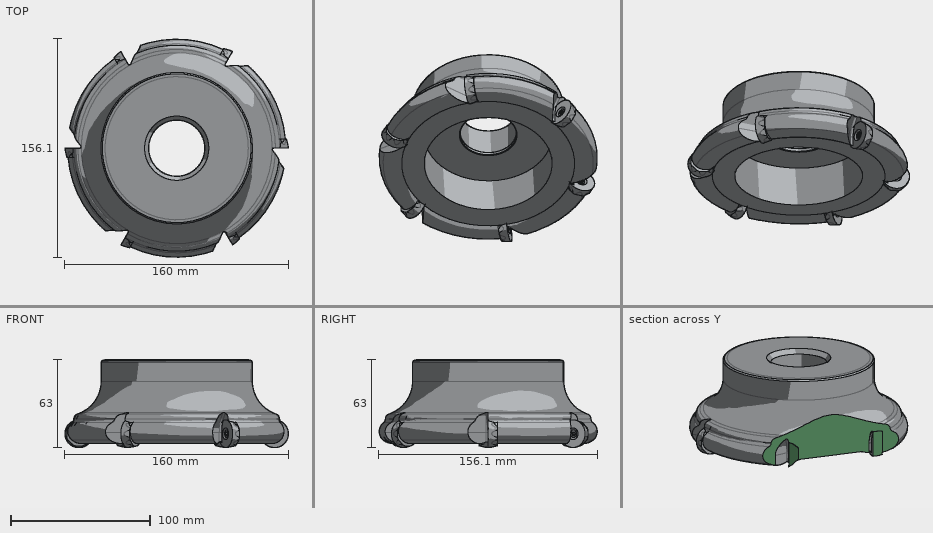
import cadquery as cq
import math


INSERT_COUNT = 6

BODY_TOP_Z = 63.0
BODY_BOTTOM_Z = 3.0
HUB_RADIUS = 108.45 / 2
HUB_TOP_FACE_RADIUS = 102.45 / 2
HUB_CHAMFER = 1.0
HUB_TOP_DROP = 0.5
FLARE_START_Z = 47.5
FLARE_RADIUS = 24.5
FLARE_END_RADIUS = 68.3

RIM_CENTRE_RADIUS = 70.0
RIM_CENTRE_Z = 11.6
RIM_ROUND = 8.06
RIM_END_ANGLE = math.radians(50)
SHOULDER_RADIUS = 73.7
SHOULDER_ROUND = 4.0
CONCAVE_ROUND = 3.0
SHOULDER_EDGE_RADIUS = 70.7

BORE_DIAMETER = 40.01
BORE_RELIEF_DIAMETER = 40.3
BORE_MOUTH_DIAMETER = 46.0
BORE_CHAMFER_DEPTH = 3.4
BORE_RELIEF_Z = 37.6
BORE_END_CHAMFER = 0.5
RECESS_DIAMETER = 91.45
RECESS_TOP_Z = 35.0

GASH_ANGLE = math.radians(45)
GASH_CORNER_DISTANCE = 62.1
GASH_CORNER_FILLET = 1.0
GASH_STRAIGHT_TOP_Z = 10.9
GASH_WALL_ROUND = 30.5
GASH_TOP_Z = 30.0
GASH_REACH = 40.0
CORNER_MARGIN = 1.0

INSERT_RADIUS = 10.0
INSERT_BACK_RADIUS = 9.0
INSERT_THICKNESS = 6.5
INSERT_CENTRE = (RIM_CENTRE_RADIUS, 0, INSERT_RADIUS)
INSERT_FACE = cq.Plane(INSERT_CENTRE, (1, 0, 0), (0, 1, 0))
FLAT_COUNT = 8
FLAT_LENGTH = 4.0
FLAT_BACK_DISTANCE = 8.6
SCREW_MOUTH_DIAMETER = 8.45
SCREW_FLOOR_DIAMETER = 5.35
SCREW_MOUTH_DEPTH = 0.7
SOCKET_CORE_DIAMETER = 2.4
SOCKET_LOBE_DIAMETER = 0.8
SOCKET_LOBE_COUNT = 6
SOCKET_DEPTH = 2.0


def revolve_outline(outline):
    """Revolve a closed (radius, z) outline about the cutter axis."""
    return outline.close().revolve(360, (0, 0, 0), (0, 1, 0))


def point_on_round(centre, radius, angle):
    """Point of a circle at an angle measured from its first axis."""
    return (centre[0] + radius * math.cos(angle), centre[1] + radius * math.sin(angle))


def make_turned_body():
    """Hub, flare, shoulder and rounded rim as one turned solid."""
    flare_centre = (HUB_RADIUS + FLARE_RADIUS, FLARE_START_Z)
    flare_sweep = math.acos((flare_centre[0] - FLARE_END_RADIUS) / FLARE_RADIUS)
    flare_middle = point_on_round(flare_centre, FLARE_RADIUS, math.pi + flare_sweep / 2)
    flare_end = point_on_round(flare_centre, FLARE_RADIUS, math.pi + flare_sweep)

    rim_centre = (RIM_CENTRE_RADIUS, RIM_CENTRE_Z)
    concave_centre_radius = SHOULDER_RADIUS + CONCAVE_ROUND
    lean = math.acos((concave_centre_radius - RIM_CENTRE_RADIUS) / (RIM_ROUND + CONCAVE_ROUND))
    shoulder_z = RIM_CENTRE_Z + (RIM_ROUND + CONCAVE_ROUND) * math.sin(lean)
    concave_centre = (concave_centre_radius, shoulder_z)
    concave_middle = point_on_round(concave_centre, CONCAVE_ROUND, math.pi + lean / 2)
    rim_start = point_on_round(rim_centre, RIM_ROUND, lean)

    shoulder_centre = (SHOULDER_RADIUS - SHOULDER_ROUND, shoulder_z)
    shoulder_sweep = math.acos((SHOULDER_EDGE_RADIUS - shoulder_centre[0]) / SHOULDER_ROUND)
    shoulder_start = point_on_round(shoulder_centre, SHOULDER_ROUND, shoulder_sweep)
    shoulder_middle = point_on_round(shoulder_centre, SHOULDER_ROUND, shoulder_sweep / 2)

    rim_end = point_on_round(rim_centre, RIM_ROUND, -RIM_END_ANGLE)
    bottom_round = (rim_end[1] - BODY_BOTTOM_Z) / (1 - math.sin(RIM_END_ANGLE))
    bottom_centre = (rim_end[0] - bottom_round * math.cos(RIM_END_ANGLE), BODY_BOTTOM_Z + bottom_round)
    bottom_low_point = (bottom_centre[0], BODY_BOTTOM_Z)
    bottom_end = (2 * bottom_centre[0] - rim_end[0], rim_end[1])

    chamfer_radius = HUB_RADIUS - HUB_CHAMFER
    chamfer_top_z = BODY_TOP_Z - HUB_TOP_DROP
    outline = (
        cq.Workplane("XZ")
        .moveTo(0, BODY_TOP_Z)
        .lineTo(HUB_TOP_FACE_RADIUS, BODY_TOP_Z)
        .lineTo(chamfer_radius, chamfer_top_z)
        .lineTo(HUB_RADIUS, chamfer_top_z - HUB_CHAMFER)
        .lineTo(HUB_RADIUS, FLARE_START_Z)
        .threePointArc(flare_middle, flare_end)
        .lineTo(*shoulder_start)
        .threePointArc(shoulder_middle, (SHOULDER_RADIUS, shoulder_z))
        .threePointArc(concave_middle, rim_start)
        .threePointArc((RIM_CENTRE_RADIUS + RIM_ROUND, RIM_CENTRE_Z), rim_end)
        .threePointArc(bottom_low_point, bottom_end)
        .lineTo(0, bottom_end[1])
    )
    return revolve_outline(outline)


def make_bore():
    """Stepped bore, chamfered at the top and opening into the bottom recess."""
    outline = (
        cq.Workplane("XZ")
        .moveTo(0, BODY_TOP_Z)
        .lineTo(BORE_MOUTH_DIAMETER / 2, BODY_TOP_Z)
        .lineTo(BORE_DIAMETER / 2, BODY_TOP_Z - BORE_CHAMFER_DEPTH)
        .lineTo(BORE_DIAMETER / 2, BORE_RELIEF_Z)
        .lineTo(BORE_RELIEF_DIAMETER / 2, BORE_RELIEF_Z)
        .lineTo(BORE_RELIEF_DIAMETER / 2, RECESS_TOP_Z + BORE_END_CHAMFER)
        .lineTo(BORE_RELIEF_DIAMETER / 2 + BORE_END_CHAMFER, RECESS_TOP_Z)
        .lineTo(RECESS_DIAMETER / 2, RECESS_TOP_Z)
        .lineTo(RECESS_DIAMETER / 2, BODY_BOTTOM_Z)
        .lineTo(0, BODY_BOTTOM_Z)
    )
    return revolve_outline(outline)


def make_gash():
    """Chip space in front of the insert on +X, whose cutting face lies in the plane y = 0."""
    across_wall = cq.Vector(math.sin(GASH_ANGLE), math.cos(GASH_ANGLE), 0)
    along_wall = cq.Vector(math.cos(GASH_ANGLE), -math.sin(GASH_ANGLE), 0)
    wall_plane = cq.Plane((GASH_CORNER_DISTANCE, 0, 0), across_wall, along_wall)

    sweep = math.asin((GASH_TOP_Z - GASH_STRAIGHT_TOP_Z) / GASH_WALL_ROUND)
    wall_centre = (GASH_WALL_ROUND, GASH_STRAIGHT_TOP_Z)
    wall_middle = point_on_round(wall_centre, GASH_WALL_ROUND, math.pi - sweep / 2)
    wall_top = point_on_round(wall_centre, GASH_WALL_ROUND, math.pi - sweep)
    gash = (
        cq.Workplane(wall_plane)
        .lineTo(0, GASH_STRAIGHT_TOP_Z)
        .threePointArc(wall_middle, wall_top)
        .lineTo(GASH_REACH, GASH_TOP_Z)
        .lineTo(GASH_REACH, 0)
        .close()
        .extrude(GASH_REACH, both=True)
    )
    front_of_face = (
        cq.Workplane("XY", origin=(GASH_CORNER_DISTANCE, -GASH_REACH, 0))
        .box(2 * GASH_REACH, GASH_REACH, GASH_TOP_Z, centered=(True, False, False))
    )
    gash = gash.intersect(front_of_face)

    corner_reach = wall_top[0] / math.sin(GASH_ANGLE)
    corner_zone = cq.selectors.BoxSelector(
        (GASH_CORNER_DISTANCE - CORNER_MARGIN, -CORNER_MARGIN, CORNER_MARGIN),
        (GASH_CORNER_DISTANCE + corner_reach, CORNER_MARGIN, GASH_TOP_Z - CORNER_MARGIN),
    )
    return gash.edges(corner_zone).fillet(GASH_CORNER_FILLET)


def make_insert_blank():
    """Tapered disc on +X with its cutting face at y = 0, relieved by flats at the back."""
    blank = (
        cq.Workplane(INSERT_FACE)
        .circle(INSERT_RADIUS)
        .workplane(offset=INSERT_THICKNESS)
        .circle(INSERT_BACK_RADIUS)
        .loft()
    )
    taper = (INSERT_RADIUS - INSERT_BACK_RADIUS) / INSERT_THICKNESS
    flat_front_distance = INSERT_BACK_RADIUS + taper * FLAT_LENGTH
    flat_front_y = INSERT_THICKNESS - FLAT_LENGTH
    axis_end = (RIM_CENTRE_RADIUS, INSERT_THICKNESS, INSERT_RADIUS)
    for index in range(FLAT_COUNT):
        flat = (
            cq.Workplane("XY", origin=INSERT_CENTRE)
            .moveTo(flat_front_distance, flat_front_y)
            .lineTo(FLAT_BACK_DISTANCE, INSERT_THICKNESS)
            .lineTo(INSERT_RADIUS, INSERT_THICKNESS)
            .lineTo(INSERT_RADIUS, flat_front_y)
            .close()
            .extrude(INSERT_RADIUS / 2, both=True)
        )
        blank = blank.cut(flat.rotate(INSERT_CENTRE, axis_end, index * 360 / FLAT_COUNT))
    return blank


def cut_screw_recess(blank):
    """Conical screw recess with a six-lobed driver socket in its floor."""
    mouth = (
        cq.Workplane(INSERT_FACE)
        .circle(SCREW_MOUTH_DIAMETER / 2)
        .workplane(offset=SCREW_MOUTH_DEPTH)
        .circle(SCREW_FLOOR_DIAMETER / 2)
        .loft()
    )
    floor = cq.Workplane(INSERT_FACE).workplane(offset=SCREW_MOUTH_DEPTH)
    core = floor.circle(SOCKET_CORE_DIAMETER / 2).extrude(SOCKET_DEPTH)
    lobes = (
        floor.polarArray(SOCKET_CORE_DIAMETER / 2, 0, 360, SOCKET_LOBE_COUNT)
        .circle(SOCKET_LOBE_DIAMETER / 2)
        .extrude(SOCKET_DEPTH)
    )
    return blank.cut(mouth).cut(core.union(lobes))


def place(shape, index):
    """Turn a shape built on +X to the given insert station."""
    return shape.rotate((0, 0, 0), (0, 0, 1), index * 360 / INSERT_COUNT)


gash = make_gash()
insert_blank = make_insert_blank()
insert = cut_screw_recess(insert_blank)

cutter_body = make_turned_body().cut(make_bore())
inserts = []
for station in range(INSERT_COUNT):
    cutter_body = cutter_body.cut(place(gash, station))
    cutter_body = cutter_body.cut(place(insert_blank, station))
    inserts.append(place(insert, station))

result = cq.Compound.makeCompound([cutter_body.val(), *[body.val() for body in inserts]])